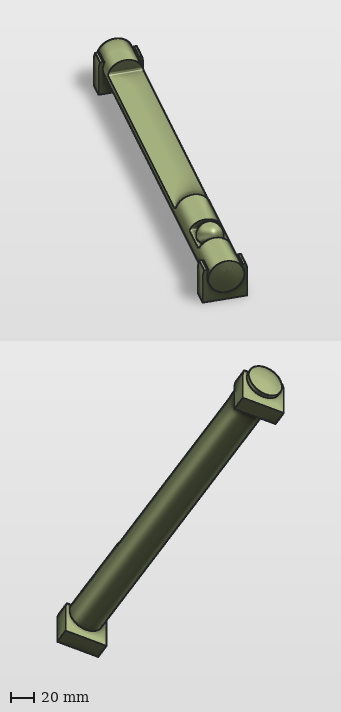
import cadquery as cq
import math

overall_length = 351.0
dome_height = 1.8
bar_radius = 16.0
bar_length = overall_length - 2 * dome_height

foot_width = 40.0
foot_bottom = -26.5
foot_top = 7.5
foot_thickness = 15.5
foot_offset = 162.0
clip_tip_inner = 16.0
lead_in_bottom = 6.5
lead_in_inner = 14.5

recess_length = 210.0
recess_center = -35.0
recess_floor = 3.0
recess_fillet = 3.0

ball_radius = 12.0
ball_center_x = 123.0
ball_top = 21.0
pocket_length = 28.8
pocket_floor = 7.5
pocket_fillet = 2.0


def end_dome(side):
    """Shallow spherical cap on one end of the bar."""
    base_x = side * bar_length / 2
    tip_x = side * overall_length / 2
    sphere_radius = (bar_radius**2 + dome_height**2) / (2 * dome_height)
    mid_radius = bar_radius / 2
    mid_x = tip_x - side * (sphere_radius - math.sqrt(sphere_radius**2 - mid_radius**2))
    return (
        cq.Workplane("XZ")
        .moveTo(base_x, 0)
        .lineTo(base_x, bar_radius)
        .threePointArc((mid_x, mid_radius), (tip_x, 0))
        .close()
        .revolve(360, (0, 0, 0), (1, 0, 0))
    )


def top_cutter(length, center_x, floor, fillet):
    """Block that cuts down to a flat floor, with rounded ends along the floor."""
    return (
        cq.Workplane("XY", origin=(center_x, 0, floor))
        .rect(length, foot_width)
        .extrude(bar_radius)
        .edges("<Z and |Y")
        .fillet(fillet)
    )


def clip_foot(center_x):
    """Foot block with clip walls rounded outside around the bar and a sloped lead-in inside."""
    half_width = foot_width / 2
    tip_outer = math.sqrt(half_width**2 - foot_top**2)
    mid_angle = math.asin(foot_top / half_width) / 2
    mid_y = half_width * math.cos(mid_angle)
    mid_z = half_width * math.sin(mid_angle)
    return (
        cq.Workplane("YZ", origin=(center_x - foot_thickness / 2, 0, 0))
        .moveTo(-half_width, foot_bottom)
        .lineTo(half_width, foot_bottom)
        .lineTo(half_width, 0)
        .threePointArc((mid_y, mid_z), (tip_outer, foot_top))
        .lineTo(clip_tip_inner, foot_top)
        .lineTo(lead_in_inner, lead_in_bottom)
        .lineTo(-lead_in_inner, lead_in_bottom)
        .lineTo(-clip_tip_inner, foot_top)
        .lineTo(-tip_outer, foot_top)
        .threePointArc((-mid_y, mid_z), (-half_width, 0))
        .close()
        .extrude(foot_thickness)
    )


bar = cq.Workplane("YZ", origin=(-bar_length / 2, 0, 0)).circle(bar_radius).extrude(bar_length)
bar = bar.cut(top_cutter(recess_length, recess_center, recess_floor, recess_fillet))
bar = bar.cut(top_cutter(pocket_length, ball_center_x, pocket_floor, pocket_fillet))

ball = cq.Workplane("XY", origin=(ball_center_x, 0, ball_top - ball_radius)).sphere(ball_radius)

result = bar.union(ball)
for side in (-1, 1):
    result = result.union(end_dome(side))
    result = result.union(clip_foot(side * foot_offset))